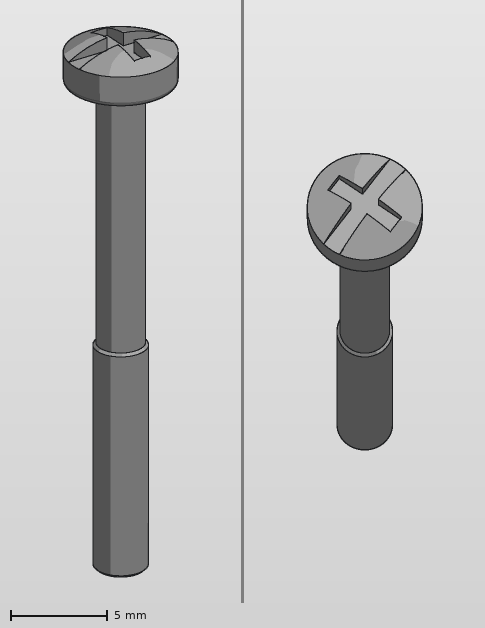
import cadquery as cq
import math

total_length = 30.55

shank_diameter = 2.6
thread_diameter = 2.9
thread_length = 12.98
thread_chamfer = (thread_diameter - shank_diameter) / 2

head_diameter = 6.0
head_height = 2.5
dome_height = 0.8
head_bottom_fillet = 0.25

slot_width = 1.0
cross_slot_length = 4.0

head_radius = head_diameter / 2
dome_radius = (head_radius**2 + dome_height**2) / (2 * dome_height)
inner_corner_radius = slot_width / math.sqrt(2)
apex_drop = dome_radius - math.sqrt(dome_radius**2 - inner_corner_radius**2)
apex_z = total_length + apex_drop
rim_z = apex_z - dome_height
head_base_z = total_length - head_height


def make_shank():
    thread = (
        cq.Workplane("XY")
        .circle(thread_diameter / 2)
        .extrude(thread_length)
        .faces("<Z or >Z")
        .chamfer(thread_chamfer)
    )
    plain_shank = cq.Workplane("XY").circle(shank_diameter / 2).extrude(head_base_z)
    return thread.union(plain_shank)


def make_head():
    mid_radius = head_radius / 2
    mid_z = apex_z - dome_radius + math.sqrt(dome_radius**2 - mid_radius**2)
    return (
        cq.Workplane("XZ")
        .moveTo(0, head_base_z)
        .lineTo(head_radius, head_base_z)
        .lineTo(head_radius, rim_z)
        .threePointArc((mid_radius, mid_z), (0, apex_z))
        .close()
        .revolve(360, (0, 0), (0, 1))
        .faces("<Z")
        .edges()
        .fillet(head_bottom_fillet)
    )


def make_slot(length_x, length_y):
    """Straight slot cutter with its floor level with the rim of the dome."""
    return cq.Workplane("XY").workplane(offset=rim_z).rect(length_x, length_y).extrude(2 * dome_height)


through_slot = make_slot(slot_width, 2 * head_diameter)
cross_slot = make_slot(cross_slot_length, slot_width)

result = make_head().union(make_shank()).cut(through_slot).cut(cross_slot)